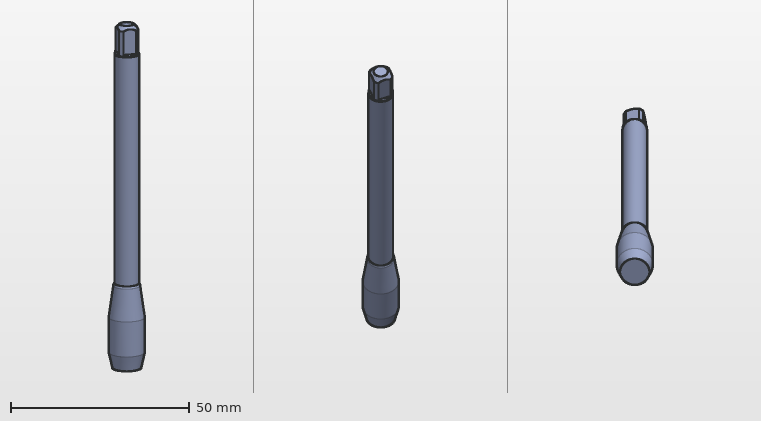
import cadquery as cq

length = 100.1

head_diameter = 10.2
tip_diameter = 8.2
lead_height = 4.5
taper_start = 14.7
shoulder_height = 23.9
shoulder_diameter = 7.6
head_height = 24.6

shank_diameter = 7.0
shank_top = 91.5

drive_diameter = 6.7
drive_width = 5.6
drive_top_diameter = 4.0
flat_bottom = 92.0

shank_radius = shank_diameter / 2
drive_radius = drive_diameter / 2
flat_depth = drive_radius - drive_width / 2
step_height = shank_radius - drive_radius
top_chamfer = drive_radius - drive_top_diameter / 2


def revolve_about_z(profile):
    """Solid of revolution from (radius, z) points, closed along the Z axis."""
    points = [(0, profile[0][1]), *profile, (0, profile[-1][1])]
    return cq.Workplane("XZ").polyline(points).close().revolve(360, (0, 0), (0, 1))


def make_head():
    """Cutting head with a conical lead and a taper up to the shank."""
    return revolve_about_z([
        (tip_diameter / 2, 0),
        (head_diameter / 2, lead_height),
        (head_diameter / 2, taper_start),
        (shoulder_diameter / 2, shoulder_height),
        (shank_radius, head_height),
    ])


def make_flat_cutter():
    """Material outside the +X flat, with a 45 degree run-out at its lower end."""
    flat_x = drive_width / 2
    outer_x = shank_diameter
    return (
        cq.Workplane("XZ")
        .moveTo(flat_x, length)
        .lineTo(flat_x, flat_bottom)
        .lineTo(flat_x + flat_depth, flat_bottom - flat_depth)
        .lineTo(outer_x, flat_bottom - flat_depth)
        .lineTo(outer_x, length)
        .close()
        .extrude(shank_radius, both=True)
    )


def make_shank():
    """Round shank with a chamfered square drive on top."""
    shank = revolve_about_z([
        (shank_radius, head_height),
        (shank_radius, shank_top - step_height),
        (drive_radius, shank_top),
        (drive_radius, length - top_chamfer),
        (drive_top_diameter / 2, length),
    ])
    cutter = make_flat_cutter()
    for angle in (0, 90, 180, 270):
        shank = shank.cut(cutter.rotate((0, 0, 0), (0, 0, 1), angle))
    return shank


head = make_head()
shank = make_shank()

result = cq.Compound.makeCompound([head.val(), shank.val()])